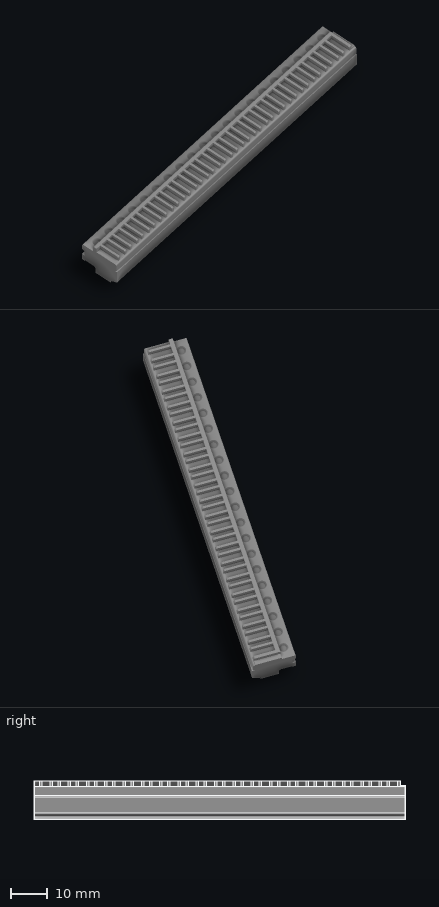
import cadquery as cq

LENGTH = 101.5
WIDTH = 12.5
HEIGHT = 10.6

SHELF_TOP = 8.5
SHELF_BOTTOM = 2.4
FOOT_BOTTOM = 2.1
FOOT_WIDTH = 1.0

GROOVE_DEPTH = 0.9
GROOVE_BOTTOM = 4.5
GROOVE_TOP = 6.6
GROOVE_INNER_BOTTOM = 4.2
GROOVE_INNER_TOP = 6.1

BLOCK_LEFT = 4.0
BLOCK_RIGHT = 11.7
SHOULDER_TOP = 9.0
SHOULDER_RIGHT = 12.3
LATCH_TOP = 6.2
LATCH_NECK_X = 11.9
LATCH_NECK_TOP = 6.5

KEEL_LEFT = 4.9
KEEL_ROOT_LEFT = 4.8
KEEL_ROOT_Z = 1.9
KEEL_RIGHT = 10.0
ROOT_CHAMFER_LEFT = 4.3

SLOPE_LOW = 0.7
SLOPE_HIGH = 1.6
SLOPE_RIGHT = 12.2
RIGHT_SIDE_BOTTOM = 1.8

EDGE_RADIUS = 0.5
BLOCK_LEFT_RADIUS = 0.4
END_STEP_RIGHT_RADIUS = 0.2

END_STEP_LENGTH = 1.3
END_STEP_TOP = 9.3

POSITIONS = 20
END_MARGIN = 3.2
PITCH = (LENGTH - 2 * END_MARGIN) / (POSITIONS - 1)

POCKET_LEFT = 5.2
POCKET_FLOOR = SHOULDER_TOP
WIDE_POCKET = 2.1
NARROW_POCKET = 1.5

SCREW_X = 2.5
SCREW_TOP_RADIUS = 1.3
SCREW_FLOOR_RADIUS = 0.86
SCREW_DEPTH = 0.5


def round_long_edge(body, x, y, z, radius):
    """Round the edge along Y whose midpoint lies at (x, y, z)."""
    return body.edges("|Y").edges(cq.NearestToPointSelector((x, y, z))).fillet(radius)


def rail(y_start, length, block_top, right_radius):
    """Extrude the cross-section along +Y, with the raised block reaching up to block_top."""
    outline = [
        (KEEL_LEFT, 0),
        (KEEL_RIGHT, 0),
        (KEEL_RIGHT, SLOPE_LOW),
        (SLOPE_RIGHT, SLOPE_HIGH),
        (WIDTH, RIGHT_SIDE_BOTTOM),
        (WIDTH, LATCH_TOP),
        (LATCH_NECK_X, LATCH_TOP),
        (LATCH_NECK_X, LATCH_NECK_TOP),
        (SHOULDER_RIGHT, LATCH_NECK_TOP),
        (SHOULDER_RIGHT, SHOULDER_TOP),
        (BLOCK_RIGHT, SHOULDER_TOP),
        (BLOCK_RIGHT, block_top),
        (BLOCK_LEFT, block_top),
        (BLOCK_LEFT, SHELF_TOP),
        (0, SHELF_TOP),
        (0, GROOVE_TOP),
        (GROOVE_DEPTH, GROOVE_INNER_TOP),
        (GROOVE_DEPTH, GROOVE_INNER_BOTTOM),
        (0, GROOVE_BOTTOM),
        (0, FOOT_BOTTOM),
        (FOOT_WIDTH, FOOT_BOTTOM),
        (FOOT_WIDTH, SHELF_BOTTOM),
        (ROOT_CHAMFER_LEFT, SHELF_BOTTOM),
        (KEEL_ROOT_LEFT, KEEL_ROOT_Z),
    ]
    body = cq.Workplane("XZ", origin=(0, y_start, 0)).polyline(outline).close().extrude(-length)
    y_middle = y_start + length / 2
    body = round_long_edge(body, 0, y_middle, SHELF_TOP, EDGE_RADIUS)
    body = round_long_edge(body, BLOCK_LEFT, y_middle, block_top, BLOCK_LEFT_RADIUS)
    body = round_long_edge(body, SHOULDER_RIGHT, y_middle, SHOULDER_TOP, EDGE_RADIUS)
    return round_long_edge(body, BLOCK_RIGHT, y_middle, block_top, right_radius)


def pocket(y_centre, width):
    """Cutter for one pocket, running out through the right side of the block."""
    return cq.Workplane("XY").box(
        WIDTH - POCKET_LEFT, width, HEIGHT - POCKET_FLOOR, centered=(False, True, False)
    ).translate((POCKET_LEFT, y_centre, POCKET_FLOOR))


def screw_recess(y_centre):
    """Cutter for one conical recess that narrows downwards from the shelf top."""
    cone = cq.Solid.makeCone(
        SCREW_FLOOR_RADIUS,
        SCREW_TOP_RADIUS,
        SCREW_DEPTH,
        pnt=cq.Vector(SCREW_X, y_centre, SHELF_TOP - SCREW_DEPTH),
    )
    return cq.Workplane(cone)


main_rail = rail(-LENGTH / 2, LENGTH - END_STEP_LENGTH, HEIGHT, EDGE_RADIUS)
end_step = rail(LENGTH / 2 - END_STEP_LENGTH, END_STEP_LENGTH, END_STEP_TOP, END_STEP_RIGHT_RADIUS)
result = main_rail.union(end_step).clean()

for index in range(POSITIONS):
    y_position = LENGTH / 2 - END_MARGIN - index * PITCH
    result = result.cut(pocket(y_position, WIDE_POCKET))
    result = result.cut(pocket(y_position - PITCH / 2, NARROW_POCKET))
    result = result.cut(screw_recess(y_position))